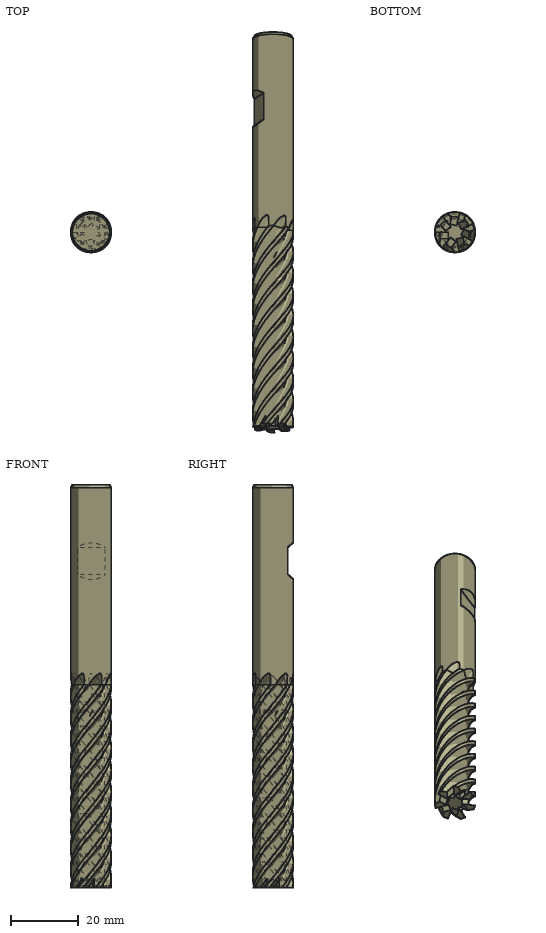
import cadquery as cq
import math

diameter = 12.0
radius = diameter / 2
overall_length = 119.0
cutting_length = 60.0
shank_length = 45.0
shank_chamfer_length = 0.85
shank_chamfer_width = 0.5

flat_depth = 1.6
flat_length = 8.0
flat_end_run = 1.4
flat_centre_z = overall_length - shank_length / 2

flute_count = 7
flute_pitch_angle = 360 / flute_count
helix_angle = 40.0
helix_lead = math.pi * diameter / math.tan(math.radians(helix_angle))
twist_angle = 360 * cutting_length / helix_lead
top_edge_angle = 250.0
bottom_edge_angle = top_edge_angle - twist_angle
core_radius = 4.0
rake_foot_radius = 4.6
flute_angle = 37.0
floor_angle = 8.0
back_foot_radius = 4.2
back_foot_angle = 14.0
back_middle_radius = 4.8
back_middle_angle = 27.0

runout_length = 3.3
runout_rise = radius - core_radius

gash_height = 2.6
gash_width = 2.0
gash_inner_radius = 2.0

overcut = 1.0


def polar(distance, angle):
    """Point in the XY plane at an azimuth given in degrees."""
    turn = math.radians(angle)
    return (distance * math.cos(turn), distance * math.sin(turn))


def tooth_angles(first_angle):
    """Azimuths of all the cutting edges, given one of them."""
    return [first_angle + tooth * flute_pitch_angle for tooth in range(flute_count)]


def draw_flute(sketch, edge_angle):
    """Continue a sketch from the heel down the hollow back, round the floor and up the rake face."""
    return (
        sketch.threePointArc(
            polar(back_middle_radius, edge_angle - back_middle_angle),
            polar(back_foot_radius, edge_angle - back_foot_angle),
        )
        .threePointArc(
            polar(core_radius, edge_angle - floor_angle),
            polar(rake_foot_radius, edge_angle),
        )
        .lineTo(*polar(radius, edge_angle))
    )


def make_runout(edge_angle):
    """Flute shape carried up into the neck while it climbs out to the surface."""
    heel_angle = edge_angle - flute_angle
    sketch = cq.Workplane("XY", origin=(0, 0, cutting_length)).moveTo(*polar(radius, heel_angle))
    sketch = (
        draw_flute(sketch, edge_angle)
        .lineTo(*polar(radius + overcut, edge_angle))
        .lineTo(*polar(radius + overcut, heel_angle))
        .close()
    )
    climb = cq.Vector(*polar(runout_rise, edge_angle), runout_length)
    return cq.Solid.extrudeLinear(sketch.val(), [], climb)


def make_flat():
    """Cutting tool for the clamping flat with its sloping ends."""
    half_floor = flat_length / 2
    half_mouth = half_floor + flat_end_run
    return (
        cq.Workplane("YZ")
        .moveTo(radius, flat_centre_z - half_mouth)
        .lineTo(radius - flat_depth, flat_centre_z - half_floor)
        .lineTo(radius - flat_depth, flat_centre_z + half_floor)
        .lineTo(radius, flat_centre_z + half_mouth)
        .close()
        .extrude(radius, both=True)
    )


def make_shank():
    """Shank and neck: one round bar, with the clamping flat and the flute run-outs."""
    body = (
        cq.Workplane("XZ")
        .moveTo(0, cutting_length)
        .lineTo(radius, cutting_length)
        .lineTo(radius, overall_length - shank_chamfer_length)
        .lineTo(radius - shank_chamfer_width, overall_length)
        .lineTo(0, overall_length)
        .close()
        .revolve(360, (0, 0), (0, 1))
    )
    body = body.cut(make_flat())
    for edge_angle in tooth_angles(top_edge_angle):
        body = body.cut(cq.Workplane(make_runout(edge_angle)))
    return body


def make_gash(edge_angle):
    """Wedge in front of one cutting edge, upright along the edge and open at the end face."""
    return (
        cq.Workplane("YZ")
        .moveTo(0, 0)
        .lineTo(0, gash_height)
        .lineTo(-gash_width, 0)
        .close()
        .extrude(radius + overcut - gash_inner_radius)
        .translate((gash_inner_radius, 0, 0))
        .rotate((0, 0, 0), (0, 0, 1), edge_angle)
    )


def make_cutter():
    """Fluted cutting part, twisted along the helix and gashed at the end."""
    edge_angles = tooth_angles(bottom_edge_angle)
    section = cq.Workplane("XY").moveTo(*polar(radius, bottom_edge_angle))
    for edge_angle in edge_angles:
        next_edge_angle = edge_angle + flute_pitch_angle
        heel_angle = next_edge_angle - flute_angle
        land_middle = polar(radius, (edge_angle + heel_angle) / 2)
        section = section.threePointArc(land_middle, polar(radius, heel_angle))
        section = draw_flute(section, next_edge_angle)
    body = section.close().twistExtrude(cutting_length, twist_angle)
    for edge_angle in edge_angles:
        body = body.cut(make_gash(edge_angle), clean=False)
    return body


shank = make_shank()
cutter = make_cutter()
result = cq.Compound.makeCompound([shank.solids().val(), cutter.solids().val()])